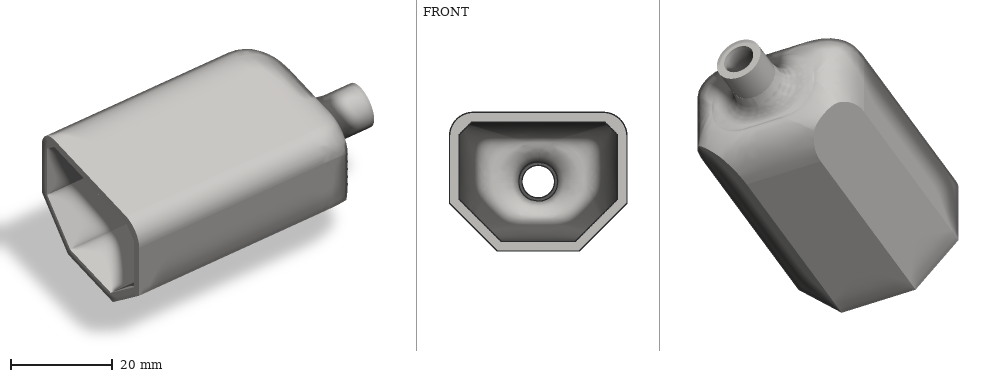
import cadquery as cq
import math

length = 63.5
width = 34.9
height = 27.3
wall = 1.9

corner_radius = 4.75
lower_chamfer = 9.4
inner_upper_chamfer = 2.55
body_length = 43.05

shoulder_y = 52.25
neck_y = 56.9
neck_radius = 4.75
bore_radius = 3.2
shoulder_half_width = 11.1
shoulder_half_height = 7.95
shoulder_corner_radius = 7.0

inner_shoulder_half_width = 9.3
inner_shoulder_half_height = 7.7
inner_corner_radius = 0.3
inner_neck_radius = 4.05

outer_flare_sections = [
    (52.5, 8.65, 6.9, 6.55),
    (53.1, 6.55, 5.9, 5.7),
    (54.8, 5.2, 5.2, 5.15),
]
inner_flare_sections = [
    (50.8, 7.1, 6.35, 6.05),
    (52.1, 5.2, 4.95, 4.75),
]

dome_steps = 6
edge_flat = 0.05
cut_margin = 0.65
slab_thickness = 0.65

inner_lower_chamfer = lower_chamfer - wall * (2 - math.sqrt(2))


def section(y, half_width, half_height, radius):
    """Rounded rectangle wire across the part at the given Y."""
    blank = cq.Workplane("XZ", origin=(0, y, 0)).rect(2 * half_width, 2 * half_height).extrude(slab_thickness)
    return blank.edges("|Y").fillet(radius).faces(">Y").wires().val()


def loft(sections):
    return cq.Workplane(cq.Solid.makeLoft([section(*values) for values in sections]))


def dome_sections(start, end):
    """Quarter-elliptical closing from one section (y, half sizes, radius) to another."""
    sections = []
    for step in range(dome_steps + 1):
        angle = math.pi / 2 * step / dome_steps
        y = start[0] + (end[0] - start[0]) * math.sin(angle)
        sizes = [b + (a - b) * math.cos(angle) for a, b in zip(start[1:], end[1:])]
        sections.append((y, *sizes))
    return sections


def round_section(y, radius):
    return (y, radius, radius, radius - edge_flat)


def prism(start_y, end_y, prism_width, prism_height):
    return cq.Workplane("XZ", origin=(0, start_y, 0)).rect(prism_width, prism_height).extrude(start_y - end_y)


def cylinder(start_y, end_y, radius):
    return cq.Workplane("XZ", origin=(0, start_y, 0)).circle(radius).extrude(start_y - end_y)


def cut_corners(form, form_width, form_height, leg, z_side):
    """Cut 45 degree faces along both lower (z_side -1) or both upper (z_side 1) edges."""
    for x_side in (-1, 1):
        inside_x = x_side * (form_width / 2 - leg - cut_margin)
        outside_x = x_side * (form_width / 2 + cut_margin)
        inside_z = z_side * (form_height / 2 - leg - cut_margin)
        outside_z = z_side * (form_height / 2 + cut_margin)
        wedge = (
            cq.Workplane("XZ", origin=(0, -2 * cut_margin, 0))
            .polyline([(inside_x, outside_z), (outside_x, outside_z), (outside_x, inside_z)])
            .close()
            .extrude(-length)
        )
        form = form.cut(wedge)
    return form


def outer_form():
    body_end = (body_length, width / 2, height / 2, corner_radius)
    shoulder = (shoulder_y, shoulder_half_width, shoulder_half_height, shoulder_corner_radius)
    flare = [
        shoulder,
        *outer_flare_sections,
        round_section(neck_y, neck_radius),
    ]
    body = prism(0, body_length, width, height).edges("|Y").fillet(corner_radius)
    dome = loft(dome_sections(body_end, shoulder))
    neck = cylinder(neck_y, length, neck_radius)
    shell = cut_corners(body.union(dome), width, height, lower_chamfer, -1)
    return shell.union(loft(flare)).union(neck)


def inner_form():
    inner_width = width - 2 * wall
    inner_height = height - 2 * wall
    body_end = (body_length, inner_width / 2, inner_height / 2, inner_corner_radius)
    shoulder = (
        shoulder_y - wall,
        inner_shoulder_half_width,
        inner_shoulder_half_height,
        shoulder_corner_radius,
    )
    flare = [
        shoulder,
        *inner_flare_sections,
        round_section(neck_y, inner_neck_radius),
    ]
    body = prism(-cut_margin, body_length, inner_width, inner_height)
    dome = loft(dome_sections(body_end, shoulder))
    hollow = cut_corners(body.union(dome), inner_width, inner_height, inner_lower_chamfer, -1)
    hollow = cut_corners(hollow, inner_width, inner_height, inner_upper_chamfer, 1)
    return hollow.union(loft(flare))


bore = cylinder(shoulder_y, length + cut_margin, bore_radius)
result = outer_form().cut(inner_form()).cut(bore)